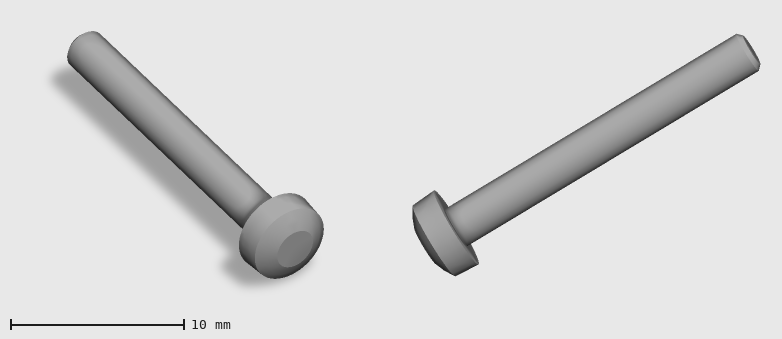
import cadquery as cq
import math

SHANK_LENGTH = 20.0
SHANK_DIAMETER = 2.5
TIP_CHAMFER = 0.27

HEAD_DIAMETER = 5.0
HEAD_HEIGHT = 2.1
RIM_HEIGHT = 1.5
RIM_TAPER_ANGLE = 4.0
CROWN_RADIUS = 4.0

shank_radius = SHANK_DIAMETER / 2
head_radius = HEAD_DIAMETER / 2
rim_end_radius = head_radius - RIM_HEIGHT * math.tan(math.radians(RIM_TAPER_ANGLE))

rim_end_x = SHANK_LENGTH + RIM_HEIGHT
overall_length = SHANK_LENGTH + HEAD_HEIGHT

crown_center_x = rim_end_x - math.sqrt(CROWN_RADIUS**2 - rim_end_radius**2)
end_face_radius = math.sqrt(CROWN_RADIUS**2 - (overall_length - crown_center_x) ** 2)


def revolve_about_x(outline):
    """Revolve a closed outline in the XZ plane a full turn about the X axis."""
    return outline.revolve(360, (0, 0, 0), (1, 0, 0))


def make_shank():
    outline = (
        cq.Workplane("XZ")
        .lineTo(0, shank_radius - TIP_CHAMFER)
        .lineTo(TIP_CHAMFER, shank_radius)
        .lineTo(SHANK_LENGTH, shank_radius)
        .lineTo(SHANK_LENGTH, 0)
        .close()
    )
    return revolve_about_x(outline)


def make_head():
    outline = (
        cq.Workplane("XZ")
        .moveTo(SHANK_LENGTH, 0)
        .lineTo(SHANK_LENGTH, head_radius)
        .lineTo(rim_end_x, rim_end_radius)
        .radiusArc((overall_length, end_face_radius), CROWN_RADIUS)
        .lineTo(overall_length, 0)
        .close()
    )
    return revolve_about_x(outline)


result = make_shank().union(make_head())